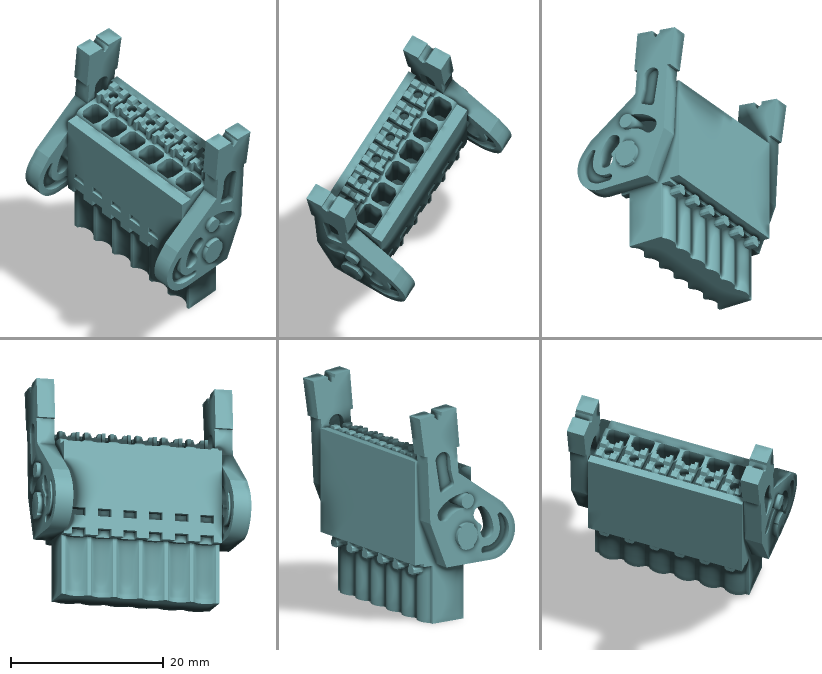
import cadquery as cq
import math


POLES = 6
POLE_SPAN = 17.52
FIRST_POLE_X = -8.73
PITCH = POLE_SPAN / (POLES - 1)
pole_centers = [FIRST_POLE_X + i * PITCH for i in range(POLES)]

HALF_WIDTH = 10.77
WIDTH = 2 * HALF_WIDTH
BODY_FRONT = -2.75
BODY_BACK = 6.27
BODY_BOTTOM = 7.9
BODY_TOP = 22.43
FRONT_WALL_TOP = 20.4
PLATFORM_TOP = 21.15
PLATFORM_FRONT = -1.18
PLATFORM_BACK = 5.18
PLATFORM_ROUND = PLATFORM_TOP - FRONT_WALL_TOP
HEEL_BACK = 4.8
HEEL_TOP = 8.35

SKIRT_FRONT = -1.55
SKIRT_BACK = 3.45
LOBE_HEIGHT = 0.6
FLUTE_WIDTH = 3.02
FLUTE_DEPTH = 0.8

KEY_BACK = 5.5
KEY_NECK_WIDTH = 0.9
KEY_WIDTH = 1.33
KEY_TIP_WIDTH = 0.9
KEY_NECK_BOTTOM = 7.58
KEY_SHOULDER = 7.35
KEY_CHAMFER_TOP = 6.9
KEY_BOTTOM = 6.63

WINDOW_WIDTH = 1.83
WINDOW_BOTTOM = 10.47
WINDOW_TOP = 11.5
WINDOW_DEPTH = 1.18
NOTCH_TOP = 8.82
WIRE_HOLE_RADIUS = 1.7
WIRE_HOLE_WIDTH = 2.95
WIRE_HOLE_BACK = 1.72
WIRE_HOLE_FRONT = -1.05
WIRE_HOLE_DEPTH = 7.4

BUTTON_WIDTH = 2.78
BUTTON_FRONT = 1.83
BUTTON_BACK = 5.1
BUTTON_TOP = 22.75
BUTTON_BOTTOM = 18.2
BUTTON_RECESS_WIDTH = 1.9
BUTTON_RECESS_DEPTH = 0.45
BUTTON_CENTER_Y = 3.6
GROOVE_TOP_WIDTH = 1.1
GROOVE_FLOOR_WIDTH = 0.65
GROOVE_DEPTH = 0.55
PROBE_RADIUS = 0.65
PROBE_DEPTH = 1.78

LEVER_THICKNESS = 2.4
LEVER_GAP = 0.18
LEVER_INNER = HALF_WIDTH + LEVER_GAP
LEVER_OUTER = LEVER_INNER + LEVER_THICKNESS
PIN_END = 13.952
PIVOT_Z = 12.05
PIVOT_RADIUS = 1.6
EAR_RADIUS = 1.8
EAR_WIDTH = 2.05
STOP_RADIUS = 0.98
STOP_DISTANCE = 4.8
SLOT_HALF_WIDTH = 1.05
STOP_SLOT_SWEEP = 45
WINDOW_SLOT_DISTANCE = 3.52
WINDOW_SLOT_START = 177.5
WINDOW_SLOT_STOP = 133.0
CAM_Y = -4.23
CAM_RADIUS = 3.8
LEVER_BOTTOM = 8.15
CAM_Z = LEVER_BOTTOM + CAM_RADIUS
BUMP_ANGLE = 22
RECESS_DEPTH = 0.95
RECESS_CORNER = 0.45
CRESCENT_OUTER_RADIUS = 2.8
CRESCENT_INNER_RADIUS = 2.07
CRESCENT_TAIL_Y = -3.1
CRESCENT_TIP_OUTER_ANGLE = 129
CRESCENT_TIP_INNER_ANGLE = 158
CRESCENT_TIP = (-5.68, 14.32)
CAM_START_ANGLE = 140
CAM_END_ANGLE = 270


def box(x0, x1, y0, y1, z0, z1):
    """Box between two opposite corners."""
    return cq.Workplane("XY").box(x1 - x0, y1 - y0, z1 - z0, centered=False).translate((x0, y0, z0))


def polar(center, radius, degrees):
    """Point in the YZ plane; 0 degrees is +Y and 90 degrees is +Z."""
    angle = math.radians(degrees)
    return center[0] + radius * math.cos(angle), center[1] + radius * math.sin(angle)


def along_x(x):
    """Workplane with local axes Y and Z that extrudes toward +X from the given x."""
    return cq.Workplane("YZ", origin=(x, 0, 0))


def housing_body():
    outline = (
        along_x(-HALF_WIDTH)
        .moveTo(BODY_FRONT, BODY_BOTTOM)
        .lineTo(BODY_FRONT, FRONT_WALL_TOP)
        .lineTo(PLATFORM_FRONT, FRONT_WALL_TOP)
        .radiusArc((PLATFORM_FRONT + PLATFORM_ROUND, PLATFORM_TOP), PLATFORM_ROUND)
        .lineTo(PLATFORM_BACK, PLATFORM_TOP)
        .lineTo(PLATFORM_BACK, BODY_TOP)
        .lineTo(BODY_BACK, BODY_TOP)
        .lineTo(BODY_BACK, HEEL_TOP)
        .lineTo(HEEL_BACK, HEEL_TOP)
        .lineTo(HEEL_BACK, BODY_BOTTOM)
        .close()
    )
    return outline.extrude(WIDTH)


def skirt():
    """Plug skirt with a concave flute in front and a convex lobe behind at every pole."""
    outline = cq.Workplane("XY").moveTo(-HALF_WIDTH, SKIRT_FRONT)
    for x in pole_centers:
        outline = outline.lineTo(x - FLUTE_WIDTH / 2, SKIRT_FRONT).threePointArc(
            (x, SKIRT_FRONT + FLUTE_DEPTH), (x + FLUTE_WIDTH / 2, SKIRT_FRONT)
        )
    outline = outline.lineTo(HALF_WIDTH, SKIRT_FRONT).lineTo(HALF_WIDTH, SKIRT_BACK)
    for x in reversed(pole_centers):
        outline = outline.lineTo(x + FLUTE_WIDTH / 2, SKIRT_BACK).threePointArc(
            (x, SKIRT_BACK + LOBE_HEIGHT), (x - FLUTE_WIDTH / 2, SKIRT_BACK)
        )
    outline = outline.lineTo(-HALF_WIDTH, SKIRT_BACK)
    return outline.close().extrude(BODY_BOTTOM)


def coding_key(x):
    half_outline = [
        (KEY_NECK_WIDTH / 2, BODY_BOTTOM),
        (KEY_NECK_WIDTH / 2, KEY_NECK_BOTTOM),
        (KEY_WIDTH / 2, KEY_SHOULDER),
        (KEY_WIDTH / 2, KEY_CHAMFER_TOP),
        (KEY_TIP_WIDTH / 2, KEY_BOTTOM),
    ]
    outline = half_outline + [(-px, pz) for px, pz in reversed(half_outline)]
    key = cq.Workplane("XZ").polyline(outline).close().extrude(SKIRT_BACK - KEY_BACK)
    return key.translate((x, SKIRT_BACK, 0))


def wire_hole(x):
    """Round hole flattened on four sides."""
    bottom = PLATFORM_TOP - WIRE_HOLE_DEPTH
    middle = (WIRE_HOLE_FRONT + WIRE_HOLE_BACK) / 2
    half = WIRE_HOLE_WIDTH / 2
    flats = box(x - half, x + half, WIRE_HOLE_FRONT, WIRE_HOLE_BACK, bottom, PLATFORM_TOP)
    circle = cq.Workplane("XY", origin=(x, middle, bottom)).circle(WIRE_HOLE_RADIUS)
    round_hole = circle.extrude(WIRE_HOLE_DEPTH)
    return round_hole.intersect(flats)


def pole_openings(x):
    half = WINDOW_WIDTH / 2
    window = box(x - half, x + half, BODY_FRONT, BODY_FRONT + WINDOW_DEPTH, WINDOW_BOTTOM, WINDOW_TOP)
    notch = box(x - half, x + half, BODY_FRONT, SKIRT_FRONT, BODY_BOTTOM, NOTCH_TOP)
    half = BUTTON_WIDTH / 2
    button_slot = box(x - half, x + half, BUTTON_FRONT, BUTTON_BACK, BUTTON_BOTTOM, PLATFORM_TOP)
    return window.union(notch).union(button_slot).union(wire_hole(x))


def lever_pins():
    """Pivot pin with two retaining ears and stop pin, on the +X side."""
    length = PIN_END - HALF_WIDTH
    pivot = along_x(HALF_WIDTH).center(0, PIVOT_Z).circle(PIVOT_RADIUS).extrude(length)
    stop = along_x(HALF_WIDTH).center(0, PIVOT_Z + STOP_DISTANCE).circle(STOP_RADIUS).extrude(length)
    ear_length = PIN_END - LEVER_OUTER
    ears = along_x(LEVER_OUTER).center(0, PIVOT_Z).circle(EAR_RADIUS).extrude(ear_length)
    ear_sides = along_x(LEVER_OUTER).center(0, PIVOT_Z).rect(EAR_WIDTH, 2 * EAR_RADIUS).extrude(ear_length)
    return pivot.union(ears.intersect(ear_sides)).union(stop)


def make_housing():
    housing = housing_body().union(skirt())
    for x in pole_centers:
        housing = housing.union(coding_key(x)).cut(pole_openings(x))
    pins = lever_pins()
    return housing.union(pins).union(pins.mirror("YZ"))


def groove_outline(plane):
    top = GROOVE_TOP_WIDTH / 2
    floor = GROOVE_FLOOR_WIDTH / 2
    return plane.polyline([(-top, 0), (-floor, -GROOVE_DEPTH), (floor, -GROOVE_DEPTH), (top, 0)]).close()


def make_button(x):
    half = BUTTON_WIDTH / 2
    button = box(-half, half, BUTTON_FRONT, BUTTON_BACK, BUTTON_BOTTOM, BUTTON_TOP)
    half = BUTTON_RECESS_WIDTH / 2
    recess_back = BUTTON_FRONT + BUTTON_RECESS_DEPTH
    button = button.cut(box(-half, half, BUTTON_FRONT, recess_back, PLATFORM_TOP, BUTTON_TOP))
    center = (0, BUTTON_CENTER_Y, BUTTON_TOP)
    for plane in ("XZ", "YZ"):
        groove = groove_outline(cq.Workplane(plane, origin=center)).extrude(BUTTON_WIDTH, both=True)
        button = button.cut(groove)
    probe_hole = cq.Workplane("XY", origin=center).circle(PROBE_RADIUS).extrude(-PROBE_DEPTH)
    return button.cut(probe_hole).translate((x, 0, 0))


PIVOT = (0, PIVOT_Z)
CAM = (CAM_Y, CAM_Z)
WINDOW_SLOT_END = polar(PIVOT, WINDOW_SLOT_DISTANCE, WINDOW_SLOT_START)


def lever_plate(x):
    """Handle with a V notch on top and a round cam at the lower front."""
    cam_middle = (CAM_START_ANGLE + CAM_END_ANGLE) / 2
    return (
        along_x(x)
        .moveTo(3.0, LEVER_BOTTOM)
        .lineTo(5.6, 14.45)
        .lineTo(6.07, 23.65)
        .lineTo(6.5, 23.65)
        .lineTo(7.28, 28.88)
        .lineTo(4.95, 29.15)
        .lineTo(4.9, 28.75)
        .lineTo(4.32, 28.3)
        .lineTo(4.17, 28.3)
        .lineTo(3.82, 28.88)
        .lineTo(3.75, 29.32)
        .lineTo(1.42, 29.6)
        .lineTo(0.92, 24.25)
        .lineTo(1.35, 24.2)
        .lineTo(1.07, 20.7)
        .lineTo(-6.05, 15.68)
        .lineTo(*polar(CAM, CAM_RADIUS, CAM_START_ANGLE))
        .threePointArc(polar(CAM, CAM_RADIUS, cam_middle), polar(CAM, CAM_RADIUS, CAM_END_ANGLE))
        .close()
        .extrude(LEVER_THICKNESS)
    )


def stop_slot(x):
    """Slot around the pivot for the stop pin, which rests at its upper end."""
    end = 90 - STOP_SLOT_SWEEP
    middle = 90 - STOP_SLOT_SWEEP / 2
    inner = STOP_DISTANCE - SLOT_HALF_WIDTH
    outer = STOP_DISTANCE + SLOT_HALF_WIDTH
    first_end = polar(PIVOT, STOP_DISTANCE, 90)
    last_end = polar(PIVOT, STOP_DISTANCE, end)
    return (
        along_x(x)
        .moveTo(*polar(PIVOT, inner, 90))
        .threePointArc(polar(first_end, SLOT_HALF_WIDTH, 180), polar(PIVOT, outer, 90))
        .threePointArc(polar(PIVOT, outer, middle), polar(PIVOT, outer, end))
        .threePointArc(polar(last_end, SLOT_HALF_WIDTH, end - 90), polar(PIVOT, inner, end))
        .threePointArc(polar(PIVOT, inner, middle), polar(PIVOT, inner, 90))
        .close()
        .extrude(LEVER_THICKNESS)
    )


def window_slot(x):
    """Curved opening in front of the pivot, with a rounded bump on its inner side."""
    start = WINDOW_SLOT_START
    stop = WINDOW_SLOT_STOP
    inner = WINDOW_SLOT_DISTANCE - SLOT_HALF_WIDTH
    outer = WINDOW_SLOT_DISTANCE + SLOT_HALF_WIDTH
    upper_end = polar(PIVOT, WINDOW_SLOT_DISTANCE, stop)
    return (
        along_x(x)
        .moveTo(*polar(PIVOT, outer, start))
        .threePointArc(polar(PIVOT, outer, (start + stop) / 2), polar(PIVOT, outer, stop))
        .threePointArc(polar(upper_end, SLOT_HALF_WIDTH, stop - 90), polar(PIVOT, inner, stop))
        .lineTo(-2.5, 13.17)
        .threePointArc((-2.65, 12.9), polar(WINDOW_SLOT_END, SLOT_HALF_WIDTH, BUMP_ANGLE))
        .threePointArc(polar(WINDOW_SLOT_END, SLOT_HALF_WIDTH, 270), polar(PIVOT, outer, start))
        .close()
        .extrude(LEVER_THICKNESS)
    )


def crescent(x):
    """Blind crescent along the cam, with rounded ends."""
    outer = CRESCENT_OUTER_RADIUS
    inner = CRESCENT_INNER_RADIUS
    inner_side = WINDOW_SLOT_DISTANCE + inner
    inner_top = polar(PIVOT, inner_side, CRESCENT_TIP_INNER_ANGLE)
    outer_top = polar(CAM, outer, CRESCENT_TIP_OUTER_ANGLE)
    outer_middle = (CRESCENT_TIP_OUTER_ANGLE + CAM_END_ANGLE) / 2
    inner_middle = (CRESCENT_TIP_INNER_ANGLE + WINDOW_SLOT_START) / 2
    tail_y = CRESCENT_TAIL_Y
    tail_top = WINDOW_SLOT_END[1] - inner
    tail_bottom = CAM_Z - outer
    tail_radius = (tail_top - tail_bottom) / 2
    return (
        along_x(x)
        .moveTo(tail_y, tail_bottom)
        .lineTo(CAM_Y, tail_bottom)
        .threePointArc(polar(CAM, outer, outer_middle), outer_top)
        .threePointArc(CRESCENT_TIP, inner_top)
        .threePointArc(polar(PIVOT, inner_side, inner_middle), polar(PIVOT, inner_side, WINDOW_SLOT_START))
        .threePointArc(polar(WINDOW_SLOT_END, inner, 225), polar(WINDOW_SLOT_END, inner, 270))
        .lineTo(tail_y, tail_top)
        .threePointArc((tail_y + tail_radius, tail_top - tail_radius), (tail_y, tail_bottom))
        .close()
        .extrude(RECESS_DEPTH)
    )


def finger_recess(x):
    """Blind recess in the handle, round at the top."""
    return (
        along_x(x)
        .moveTo(4.75, 22.9)
        .threePointArc((3.65, 23.9), (2.43, 22.9))
        .lineTo(2.25, 21.15)
        .lineTo(1.72, 19.17)
        .lineTo(3.97, 18.17)
        .close()
        .extrude(RECESS_DEPTH)
        .edges("|X and (<Z or <Y)")
        .fillet(RECESS_CORNER)
    )


def make_lever(x):
    """Lever whose -X face lies at x, with the same recesses in both faces."""
    lever = lever_plate(x)
    lever = lever.cut(along_x(x).center(*PIVOT).circle(PIVOT_RADIUS).extrude(LEVER_THICKNESS))
    lever = lever.cut(stop_slot(x)).cut(window_slot(x))
    for face_x in (x, x + LEVER_THICKNESS - RECESS_DEPTH):
        lever = lever.cut(crescent(face_x)).cut(finger_recess(face_x))
    return lever


housing = make_housing()
buttons = [make_button(x) for x in pole_centers]
levers = [make_lever(x) for x in (-LEVER_OUTER, LEVER_INNER)]

result = cq.Compound.makeCompound([body.solids().val() for body in [housing, *buttons, *levers]])